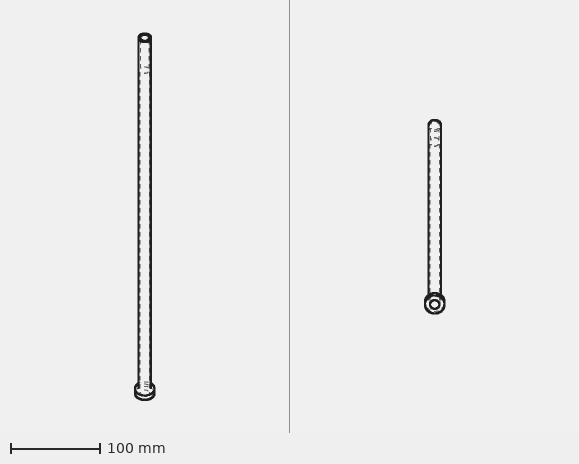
import cadquery as cq

total_length = 550.0
head_diameter = 22.0
head_height = 7.0
shaft_diameter = 14.0
neck_fillet = 0.7

guide_diameter = 10.0
guide_length = 50.0
relief_diameter = 10.5


def make_body():
    """Head and shaft turned in one piece, with a rounded inner corner between them."""
    head_radius = head_diameter / 2
    shaft_radius = shaft_diameter / 2
    profile = (
        cq.Workplane("XZ")
        .lineTo(head_radius, 0)
        .lineTo(head_radius, head_height)
        .lineTo(shaft_radius + neck_fillet, head_height)
        .radiusArc((shaft_radius, head_height + neck_fillet), neck_fillet)
        .lineTo(shaft_radius, total_length)
        .lineTo(0, total_length)
        .close()
    )
    return profile.revolve(360, (0, 0), (0, 1))


def make_bore():
    """Stepped through-bore: guide diameter at the tip, relief diameter below it."""
    guide = cq.Workplane("XY").circle(guide_diameter / 2).extrude(total_length)
    relief = cq.Workplane("XY").circle(relief_diameter / 2).extrude(total_length - guide_length)
    return guide.union(relief)


result = make_body().cut(make_bore())